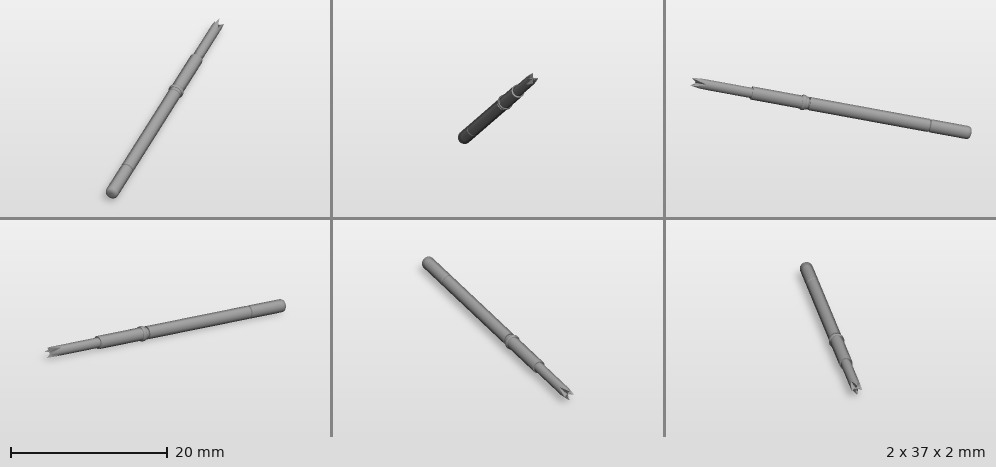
import cadquery as cq
import math

length = 37.0

plunger_radius = 0.65
barrel_radius = 0.85
collar_radius = 1.0
crimp_depth = 0.2
crimp_radius = barrel_radius - crimp_depth

rear_rounding = 0.5
rear_crimp_center = 5.48
rear_crimp_half_width = 0.25
front_crimp_start = 21.45
front_crimp_end = 21.8
front_crimp_floor = 0.1
collar_start = 21.98
collar_width = 0.5
collar_end = collar_start + collar_width
collar_edge_drop = 0.07
barrel_end = 29.1

tooth_count = 4
notch_depth_center = 0.45
notch_depth_outside = 1.85
recess_depth = 0.45
recess_floor_radius = 0.3
clearance = 0.37


def make_body():
    """Barrel, collar, crimps and plunger turned about the Y axis."""
    corner = rear_rounding * math.sqrt(0.5)
    crimp_rear = rear_crimp_center - rear_crimp_half_width
    crimp_front = rear_crimp_center + rear_crimp_half_width
    midpoint_drop = 1 - math.sqrt(0.5)
    arc_drop = crimp_depth * midpoint_drop
    arc_run = rear_crimp_half_width * math.sqrt(0.5)
    neck_front = front_crimp_start + front_crimp_floor
    neck_run = (front_crimp_end - neck_front) * math.sqrt(0.5)
    collar_edge = collar_radius - collar_edge_drop
    profile = (
        cq.Workplane("XY")
        .lineTo(barrel_radius - rear_rounding, 0)
        .threePointArc(
            (barrel_radius - rear_rounding + corner, rear_rounding - corner),
            (barrel_radius, rear_rounding),
        )
        .lineTo(barrel_radius, crimp_rear)
        .threePointArc((barrel_radius - arc_drop, crimp_rear + arc_run), (crimp_radius, rear_crimp_center))
        .threePointArc((barrel_radius - arc_drop, crimp_front - arc_run), (barrel_radius, crimp_front))
        .lineTo(barrel_radius, front_crimp_start)
        .lineTo(crimp_radius, front_crimp_start)
        .lineTo(crimp_radius, neck_front)
        .threePointArc((barrel_radius - arc_drop, front_crimp_end - neck_run), (barrel_radius, front_crimp_end))
        .lineTo(barrel_radius, collar_start)
        .lineTo(collar_edge, collar_start)
        .threePointArc((collar_radius, collar_start + collar_width / 2), (collar_edge, collar_end))
        .lineTo(barrel_radius, collar_end)
        .lineTo(barrel_radius, barrel_end)
        .lineTo(plunger_radius, barrel_end)
        .lineTo(plunger_radius, length)
        .lineTo(0, length)
        .close()
    )
    return profile.revolve(360, (0, 0, 0), (0, 1, 0))


def make_notch():
    """V notch opening toward +X, its valley dropping from the axis outward."""
    fall = (notch_depth_outside - notch_depth_center) / plunger_radius
    tip_offset = plunger_radius * math.sqrt(0.5)
    side_slope = (notch_depth_center + fall * tip_offset) / tip_offset
    reach = plunger_radius + clearance
    mouth_y = length + clearance

    def section(x):
        valley_y = length - notch_depth_center - fall * x
        half_width = (mouth_y - valley_y) / side_slope
        return cq.Wire.makePolygon(
            [
                cq.Vector(x, valley_y, 0),
                cq.Vector(x, mouth_y, half_width),
                cq.Vector(x, mouth_y, -half_width),
            ],
            close=True,
        )

    return cq.Workplane(obj=cq.Solid.makeLoft([section(0), section(reach)], True))


def make_recess():
    """Flat-bottomed conical hollow between the teeth."""
    return (
        cq.Workplane("XY")
        .moveTo(0, length - recess_depth)
        .lineTo(recess_floor_radius, length - recess_depth)
        .lineTo(plunger_radius, length)
        .lineTo(0, length)
        .close()
        .revolve(360, (0, 0, 0), (0, 1, 0))
    )


result = make_body()
tooth_pitch = 360 / tooth_count
for index in range(tooth_count):
    angle = tooth_pitch * (index + 0.5)
    result = result.cut(make_notch().rotate((0, 0, 0), (0, 1, 0), angle))
result = result.cut(make_recess())